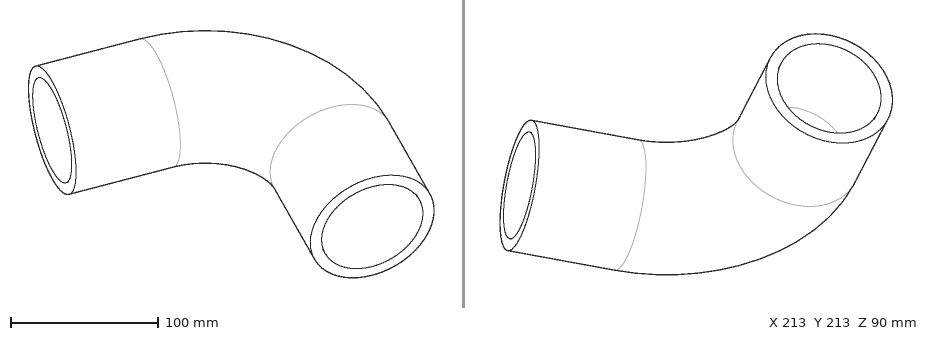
import cadquery as cq

overall_size = 213.0
outer_diameter = 90.0
bore_diameter = 73.7
straight_length = 75.8

bend_radius = overall_size - straight_length - outer_diameter / 2

inlet_start = (-bend_radius, -straight_length)


def elbow_rod(diameter):
    """Solid round rod that follows the elbow centreline."""
    centreline = (
        cq.Workplane("XY")
        .moveTo(*inlet_start)
        .lineTo(-bend_radius, 0)
        .radiusArc((0, bend_radius), bend_radius)
        .lineTo(straight_length, bend_radius)
    )
    inlet_plane = cq.Plane(origin=(*inlet_start, 0), xDir=(1, 0, 0), normal=(0, 1, 0))
    return cq.Workplane(inlet_plane).circle(diameter / 2).sweep(centreline)


result = elbow_rod(outer_diameter).cut(elbow_rod(bore_diameter))